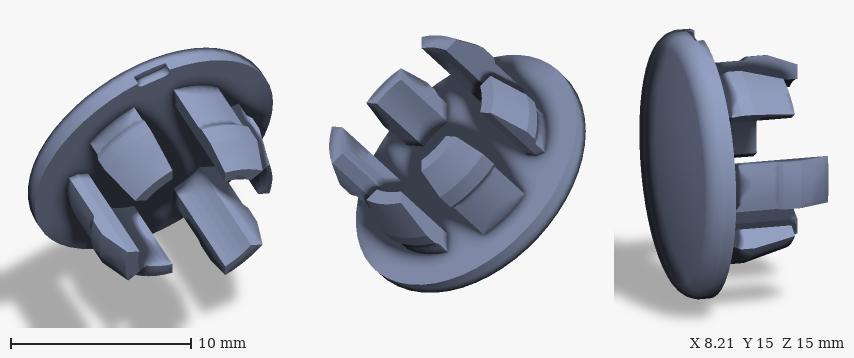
import cadquery as cq
import math

CAP_RADIUS = 7.5
CAP_THICKNESS = 2.18
RIM_START = 1.62
RIM_ROUND = 1.0
DOME_RADIUS = 6.69

NOTCH_START = 1.66
NOTCH_HALF_WIDTH = 0.99
NOTCH_CORNER = 0.3
NOTCH_DEPTH = 0.5

INNER_RADIUS = 4.25
STEM_RADIUS = 5.5
BEAD_RADIUS = 5.7
TIP_RADIUS = 5.04
SLOT_HALF_WIDTH = 1.25
SLOT_ANGLE = 30.0
NARROW_HALF_WIDTH = 1.34

LONG_STATIONS = (2.92, 3.24, 4.29, 6.03)
SHORT_STATIONS = (0.9, 1.25, 2.02, 4.5)

LONG_ANGLES = (60, 180, 300)
SHORT_ANGLES = (0, 120, 240)
NARROW_ANGLES = (0, 180)

X_AXIS = ((0, 0, 0), (1, 0, 0))


def make_disc():
    """Domed disc with a rounded front edge."""
    round_center = CAP_RADIUS - RIM_ROUND
    dome_depth = RIM_START - math.sqrt(RIM_ROUND**2 - (DOME_RADIUS - round_center)**2)
    sphere_radius = (DOME_RADIUS**2 + dome_depth**2) / (2 * dome_depth)
    mid_radius = DOME_RADIUS / 2
    dome_mid = (sphere_radius - math.sqrt(sphere_radius**2 - mid_radius**2), mid_radius)
    diagonal = RIM_ROUND * math.sqrt(0.5)
    round_mid = (RIM_START - diagonal, round_center + diagonal)
    return (
        cq.Workplane("XY")
        .moveTo(0, 0)
        .threePointArc(dome_mid, (dome_depth, DOME_RADIUS))
        .threePointArc(round_mid, (RIM_START, CAP_RADIUS))
        .lineTo(CAP_THICKNESS, CAP_RADIUS)
        .lineTo(CAP_THICKNESS, 0)
        .close()
        .revolve(360, *X_AXIS)
    )


def make_notch():
    """Cutter for the rim recess, with rounded floor corners."""
    length = CAP_THICKNESS - NOTCH_START
    height = 2 * NOTCH_DEPTH
    return (
        cq.Workplane("XY")
        .box(length, 2 * NOTCH_HALF_WIDTH, height, centered=(False, True, False))
        .edges("|X and <Z")
        .fillet(NOTCH_CORNER)
        .translate((NOTCH_START, 0, CAP_RADIUS - NOTCH_DEPTH))
    )


def make_leg_ring(stations):
    """Full ring with the lengthwise profile of a leg: stem, bead and tapered tip."""
    ramp_start, bead_start, bead_end, tip = (CAP_THICKNESS + s for s in stations)
    profile = [
        (CAP_THICKNESS, INNER_RADIUS),
        (CAP_THICKNESS, STEM_RADIUS),
        (ramp_start, STEM_RADIUS),
        (bead_start, BEAD_RADIUS),
        (bead_end, BEAD_RADIUS),
        (tip, TIP_RADIUS),
        (tip, INNER_RADIUS),
    ]
    return cq.Workplane("XY").polyline(profile).close().revolve(360, *X_AXIS)


def make_leg(stations, angle):
    """One leg: the wedge of the ring left between two slots, turned into place."""
    length = CAP_THICKNESS + stations[-1]
    reach = BEAD_RADIUS + 0.15
    slope = math.radians(SLOT_ANGLE)
    wedge_apex = SLOT_HALF_WIDTH / math.sin(slope)
    wedge_half_width = (reach - wedge_apex) * math.tan(slope)
    wedge = (
        cq.Workplane("YZ")
        .polyline([(wedge_apex, 0), (reach, wedge_half_width), (reach, -wedge_half_width)])
        .close()
        .extrude(length)
    )
    leg = make_leg_ring(stations).intersect(wedge)
    if angle in NARROW_ANGLES:
        trim = cq.Workplane("YZ").rect(2 * reach, 2 * NARROW_HALF_WIDTH).extrude(length)
        leg = leg.intersect(trim)
    return leg.rotate(*X_AXIS, angle)


def make_cap():
    """Cap body: the notched disc together with its three short legs."""
    cap = make_disc().cut(make_notch())
    for angle in SHORT_ANGLES:
        cap = cap.union(make_leg(SHORT_STATIONS, angle))
    return cap


cap = make_cap()

long_legs = [make_leg(LONG_STATIONS, angle) for angle in LONG_ANGLES]

result = cq.Compound.makeCompound([cap.val(), *[leg.val() for leg in long_legs]])